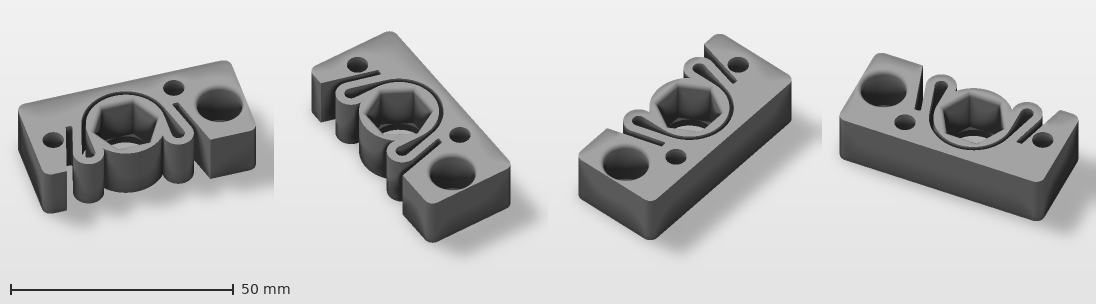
import cadquery as cq
import math

length = 50.0
width = 22.5
height = 13.0
corner_radius = 2.0
left_x = -12.5
right_x = left_x + width
front_y = -22.0

floor_thickness = 2.0
mouth_radius = 1.0
hex_flats = 12.8
hex_corners = hex_flats / math.cos(math.pi / 6)
hex_hole_diameter = hex_flats
round_pocket_diameter = 10.2
round_hole_diameter = 9.0
round_pocket_y = 22.0

small_hole_diameter = 4.8
small_hole_centers = [(-7.5, 13.5), (0.0, -17.0)]

disc_radius = 9.0
slot_width = 1.0
slot_radius = disc_radius + slot_width
spring_thickness = 2.0
fold_inner_radius = 1.5
fold_outer_radius = fold_inner_radius + spring_thickness
fold_x = 6.0
fold_y = disc_radius + fold_inner_radius
gap_width = 1.5
gap_end_x = -3.0
gap_corner_radius = 0.4

fold_distance = math.hypot(fold_x, fold_y)
normal_angle = math.atan2(fold_y, fold_x) + math.acos((slot_radius - fold_inner_radius) / fold_distance)
normal_x = math.cos(normal_angle)
normal_y = math.sin(normal_angle)


def mirrored(point):
    return (point[0], -point[1])


def on_fold(radius):
    """Point where the sloping arm is tangent to a fold arc of this radius."""
    return (fold_x + radius * normal_x, fold_y + radius * normal_y)


def on_arm_line(offset, x):
    """Point at x on the line parallel to the arm, at this distance from the origin."""
    return (x, (offset - x * normal_x) / normal_y)


def make_block():
    block = cq.Workplane("XY").box(width, length, height, centered=False)
    return block.translate((left_x, front_y, 0)).edges("|Z").fillet(corner_radius)


def make_inner_slot():
    """C-shaped slot behind the disc that runs into both spring folds."""
    fold_start = (fold_x, disc_radius)
    fold_tip = (fold_x + fold_inner_radius, fold_y)
    fold_end = on_fold(fold_inner_radius)
    slot_tangent = (slot_radius * normal_x, slot_radius * normal_y)
    return (
        cq.Workplane("XY")
        .moveTo(0, disc_radius)
        .lineTo(*fold_start)
        .threePointArc(fold_tip, fold_end)
        .lineTo(*slot_tangent)
        .threePointArc((-slot_radius, 0), mirrored(slot_tangent))
        .lineTo(*mirrored(fold_end))
        .threePointArc(mirrored(fold_tip), mirrored(fold_start))
        .lineTo(0, -disc_radius)
        .threePointArc((-disc_radius, 0), (0, disc_radius))
        .close()
        .extrude(height)
    )


def make_outer_gap():
    """Clearance around the outside of both folds and the disc, open on the +X side."""
    arm_offset = slot_radius + spring_thickness
    gap_offset = arm_offset + gap_width
    gap_mouth = on_arm_line(gap_offset, right_x)
    gap_outer_corner = on_arm_line(gap_offset, gap_end_x)
    gap_inner_corner = on_arm_line(arm_offset, gap_end_x)
    fold_start = on_fold(fold_outer_radius)
    fold_tip = (fold_x + fold_outer_radius, fold_y)
    along = (fold_distance**2 + disc_radius**2 - fold_outer_radius**2) / (2 * fold_distance)
    notch_angle = math.atan2(fold_y, fold_x) - math.acos(along / disc_radius)
    notch = (disc_radius * math.cos(notch_angle), disc_radius * math.sin(notch_angle))
    gap = (
        cq.Workplane("XY")
        .moveTo(*gap_mouth)
        .lineTo(*gap_outer_corner)
        .lineTo(*gap_inner_corner)
        .lineTo(*fold_start)
        .threePointArc(fold_tip, notch)
        .threePointArc((disc_radius, 0), mirrored(notch))
        .threePointArc(mirrored(fold_tip), mirrored(fold_start))
        .lineTo(*mirrored(gap_inner_corner))
        .lineTo(*mirrored(gap_outer_corner))
        .lineTo(*mirrored(gap_mouth))
        .close()
        .extrude(height)
    )
    reach_y = gap_inner_corner[1] + gap_width / 2
    acute_corners = cq.selectors.BoxSelector((left_x, -reach_y, 0), (right_x, reach_y, height))
    return gap.faces("<X").edges("|Z").edges(acute_corners).fillet(gap_corner_radius)


def make_round_pocket():
    """Round pocket with a convex rounded mouth, above a smaller through hole."""
    pocket_radius = round_pocket_diameter / 2
    mouth_z = height - mouth_radius
    bend = mouth_radius * math.sqrt(0.5)
    return (
        cq.Workplane("XZ")
        .lineTo(round_hole_diameter / 2, 0)
        .lineTo(round_hole_diameter / 2, floor_thickness)
        .lineTo(pocket_radius, floor_thickness)
        .lineTo(pocket_radius, mouth_z)
        .threePointArc(
            (pocket_radius + mouth_radius - bend, mouth_z + bend),
            (pocket_radius + mouth_radius, height),
        )
        .lineTo(0, height)
        .close()
        .revolve(360, (0, 0), (0, 1))
        .translate((0, round_pocket_y, 0))
    )


def make_hex_pocket():
    """Hexagonal pocket with flats facing X, above a round through hole."""
    pocket = (
        cq.Workplane("XY", origin=(0, 0, floor_thickness))
        .transformed(rotate=(0, 0, 90))
        .polygon(6, hex_corners)
        .extrude(height - floor_thickness)
    )
    hole = cq.Workplane("XY").circle(hex_hole_diameter / 2).extrude(floor_thickness)
    return pocket.union(hole)


def round_hex_mouth(body):
    """Fillet the six straight edges of the hexagon on the top face."""
    reach = hex_corners / 2
    around_hexagon = cq.selectors.BoxSelector((-reach, -reach, floor_thickness), (reach, reach, 2 * height))
    return body.faces(">Z").edges(around_hexagon).edges("%LINE").fillet(mouth_radius)


def make_small_holes():
    hole_points = cq.Workplane("XY").pushPoints(small_hole_centers)
    return hole_points.circle(small_hole_diameter / 2).extrude(height)


result = make_block()
for make_cutter in (make_inner_slot, make_outer_gap, make_round_pocket, make_hex_pocket, make_small_holes):
    result = result.cut(make_cutter())
result = round_hex_mouth(result)